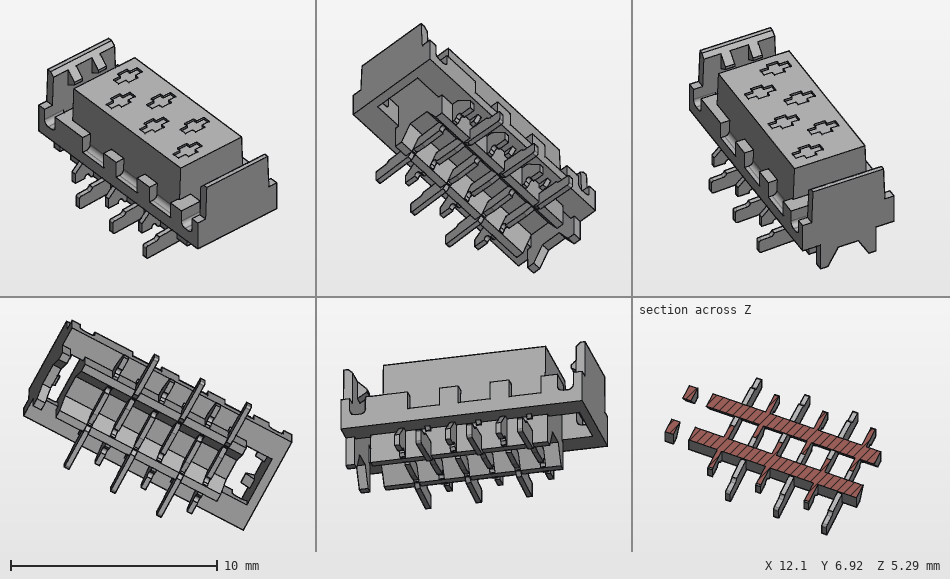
import cadquery as cq
import math

length = 12.09
base_width = 4.98
base_height = 1.6
half_length = length / 2
half_width = base_width / 2

top_z = 3.51
block_half_length = 4.06
block_half_width_low = 2.0
block_half_width_top = 1.92
wall_slope = (block_half_width_low - block_half_width_top) / (top_z - base_height)

latch_thickness = 0.45
latch_chamfer = 0.22
hook_tip_reach = 0.93
hook_tip_height = 0.16
hook_slope_height = 0.3
hook_width = 0.51

relief_width = 0.8
relief_floor_z = 0.69
relief_radius = 0.28
opening_width = 2.59

foot_depth = 1.5
foot_width = 3.02
channel_top_z = -0.5
channel_top_width = 1.09
channel_bottom_width = 2.22

contact_count = 6
contact_pitch = 1.27
contact_thickness = 0.25
row_offset = 0.75
contact_bottom_z = -1.79
contact_reach = 3.46
contact_tip_radius = 0.12

plate_top_y = 1.85
plate_bend_y = 1.96
plate_bend_z = -0.1
plate_reach = 2.67
plate_slope_end_z = -0.77
plate_bottom_z = -1.34
plate_root_y = 1.65

web_top_z = -0.69
web_top_end_y = 0.6
web_shoulder_z = -1.4
web_bottom_z = -1.46
web_low_y = 0.48
web_low_z = -1.45

notch_radius = 0.15
notch_top_z = -1.16
notch_flare = 0.08
plate_notch_y = -1.91
channel_notch_y = -0.83

tail_slope_top_y = 1.02
tail_slope_top_z = -1.39
tail_heel_y = 1.37
tail_heel_z = -1.7
tail_tip_top_z = -1.03
tail_step_inner_y = 2.64
tail_step_high_z = -0.83
tail_step_mid_y = 2.7
tail_step_mid_z = -0.94
tail_step_outer_y = 2.82
tail_step_low_z = -1.0

back_stub_reach = 2.04
back_stub_depth = 0.29
front_stub_reach = 1.75
front_stub_depth = 0.16

cross_long = 1.5
cross_narrow = 0.41
cross_wide = 0.86
cross_short = 0.59
cross_depth = 0.12
window_width = 1.6
window_floor_z = 0.69
window_fillet = 0.25

latch_inner_x = half_length - latch_thickness
relief_inner_x = latch_inner_x - relief_width


def box(x_range, y_range, z_range):
    """Axis-aligned block given by its limits."""
    (x0, x1), (y0, y1), (z0, z1) = x_range, y_range, z_range
    return cq.Workplane("XY").box(x1 - x0, y1 - y0, z1 - z0, centered=False).translate((x0, y0, z0))


def prism_along_x(points, x0, x1):
    """Extrude a closed (Y, Z) outline from x0 to x1."""
    return cq.Workplane("YZ").polyline(points).close().extrude(x1 - x0).translate((x0, 0, 0))


def prism_along_y(points, width, y_center=0):
    """Extrude a closed (X, Z) outline, centred on y_center."""
    outline = cq.Workplane("XZ").polyline(points).close()
    return outline.extrude(width / 2, both=True).translate((0, y_center, 0))


def tapered_block(x0, x1):
    """Upper cross-section, slightly narrower at the top."""
    outline = [
        (-block_half_width_low, 0),
        (-block_half_width_low, base_height),
        (-block_half_width_top, top_z),
        (block_half_width_top, top_z),
        (block_half_width_low, base_height),
        (block_half_width_low, 0),
    ]
    return prism_along_x(outline, x0, x1)


def foot(x0, x1):
    """Lower block with the trapezoid channel removed, leaving two legs."""
    half_foot = foot_width / 2
    block = box((x0, x1), (-half_foot, half_foot), (-foot_depth, 0))
    channel = [
        (-channel_bottom_width / 2, -foot_depth),
        (-channel_top_width / 2, channel_top_z),
        (channel_top_width / 2, channel_top_z),
        (channel_bottom_width / 2, -foot_depth),
    ]
    return block.cut(prism_along_x(channel, x0, x1))


def left_latch():
    """Upright end wall with a chamfered top edge and two hooks facing inward."""
    wall = tapered_block(-half_length, -latch_inner_x)
    chamfer_x = -latch_inner_x - latch_chamfer
    corner = [
        (chamfer_x, top_z),
        (-latch_inner_x, top_z),
        (-latch_inner_x, top_z - latch_chamfer),
    ]
    wall = wall.cut(prism_along_y(corner, base_width))

    tip_x = -half_length + hook_tip_reach
    tip_top_z = top_z - (tip_x - chamfer_x)
    tip_low_z = tip_top_z - hook_tip_height
    hook = [
        (-latch_inner_x, top_z - latch_chamfer),
        (tip_x, tip_top_z),
        (tip_x, tip_low_z),
        (-latch_inner_x, tip_low_z - hook_slope_height),
    ]
    for y in (-row_offset, row_offset):
        wall = wall.union(prism_along_y(hook, hook_width, y))
    return wall


def left_relief():
    """Round-bottomed slot between the latch and the base, open at the top."""
    slot = box((-latch_inner_x, -relief_inner_x), (-half_width, half_width), (relief_floor_z, top_z))
    return slot.edges("|Y and <Z").fillet(relief_radius)


def front_window(x):
    """Notch in the front shoulder that continues the tapered wall and blends into a narrow ledge."""
    blend_top_z = window_floor_z + window_fillet
    wall_y = -block_half_width_low - wall_slope * (base_height - blend_top_z)
    blend_mid_offset = window_fillet * math.sqrt(0.5)
    outline = (
        cq.Workplane("YZ")
        .moveTo(-half_width, window_floor_z)
        .lineTo(wall_y - window_fillet, window_floor_z)
        .threePointArc(
            (wall_y - window_fillet + blend_mid_offset, blend_top_z - blend_mid_offset),
            (wall_y, blend_top_z),
        )
        .lineTo(-block_half_width_low, base_height)
        .lineTo(-half_width, base_height)
        .close()
    )
    return outline.extrude(window_width / 2, both=True).translate((x, 0, 0))


def socket(x, y):
    """Shallow cross-shaped recess in the top face."""
    plane = cq.Workplane("XY", origin=(x, y, top_z - cross_depth))
    return plane.rect(cross_narrow, cross_long).extrude(cross_depth).union(
        plane.rect(cross_wide, cross_short).extrude(cross_depth)
    )


def contact(x, stub_reach, stub_depth):
    """Flat contact: solder tail toward +Y, short retaining plate toward -Y."""
    half_foot = foot_width / 2
    plate_notch_near_y = plate_notch_y + notch_radius
    plate_notch_far_y = plate_notch_y - notch_radius
    channel_notch_near_y = channel_notch_y + notch_radius
    channel_notch_far_y = channel_notch_y - notch_radius
    outline = (
        cq.Workplane("YZ")
        .moveTo(-half_foot, 0)
        .lineTo(-plate_top_y, 0)
        .lineTo(-plate_bend_y, plate_bend_z)
        .lineTo(-plate_reach, plate_slope_end_z)
        .lineTo(-plate_reach, plate_bottom_z)
        .lineTo(plate_notch_far_y, plate_bottom_z)
        .lineTo(plate_notch_far_y, notch_top_z - notch_radius)
        .threePointArc((plate_notch_y, notch_top_z), (plate_notch_near_y, notch_top_z - notch_radius))
        .lineTo(-plate_root_y, web_bottom_z)
        .lineTo(channel_notch_far_y - notch_flare, web_bottom_z)
        .lineTo(channel_notch_far_y, notch_top_z - notch_radius)
        .threePointArc((channel_notch_y, notch_top_z), (channel_notch_near_y, notch_top_z - notch_radius))
        .lineTo(channel_notch_near_y, web_shoulder_z)
        .lineTo(web_low_y, web_low_z)
        .lineTo(tail_slope_top_y, tail_slope_top_z)
        .lineTo(tail_heel_y, tail_heel_z)
        .lineTo(contact_reach, contact_bottom_z)
        .lineTo(contact_reach, tail_tip_top_z)
        .lineTo(tail_step_outer_y, tail_step_low_z)
        .threePointArc((tail_step_mid_y, tail_step_mid_z), (tail_step_inner_y, tail_step_high_z))
        .lineTo(-web_top_end_y, web_top_z)
        .lineTo(-half_foot, web_top_z)
        .close()
        .extrude(contact_thickness)
        .edges("|X and >Y")
        .fillet(contact_tip_radius)
    )
    stub_outline = [
        (half_foot, 0),
        (stub_reach, 0),
        (stub_reach - stub_depth, -stub_depth),
        (half_foot, -stub_depth),
    ]
    stub = prism_along_x(stub_outline, 0, contact_thickness)
    return outline.union(stub).translate((x - contact_thickness / 2, 0, 0))


def half_turn(shape):
    """Copy of a shape turned half a revolution about the Z axis."""
    return shape.rotate((0, 0, 0), (0, 0, 1), 180)


body = box((-half_length, half_length), (-half_width, half_width), (0, base_height))
body = body.union(tapered_block(-block_half_length, block_half_length))
body = body.cut(left_relief()).cut(half_turn(left_relief()))

half_opening = opening_width / 2
left_opening = box((-latch_inner_x, -relief_inner_x), (-half_opening, half_opening), (0, top_z))
right_opening = box((block_half_length, latch_inner_x), (-half_opening, half_opening), (0, top_z))
body = body.cut(left_opening).cut(right_opening)
body = body.union(left_latch()).union(half_turn(left_latch()))

body = body.union(foot(-relief_inner_x, block_half_length))
body = body.union(foot(-half_length, -latch_inner_x))

result = body
for index in range(contact_count):
    contact_x = (index - (contact_count - 1) / 2) * contact_pitch
    if index % 2 == 0:
        result = result.cut(half_turn(front_window(-contact_x)))
        result = result.cut(socket(contact_x, row_offset))
        result = result.union(contact(contact_x, back_stub_reach, back_stub_depth))
    else:
        result = result.cut(front_window(contact_x))
        result = result.cut(socket(contact_x, -row_offset))
        result = result.union(half_turn(contact(-contact_x, front_stub_reach, front_stub_depth)))